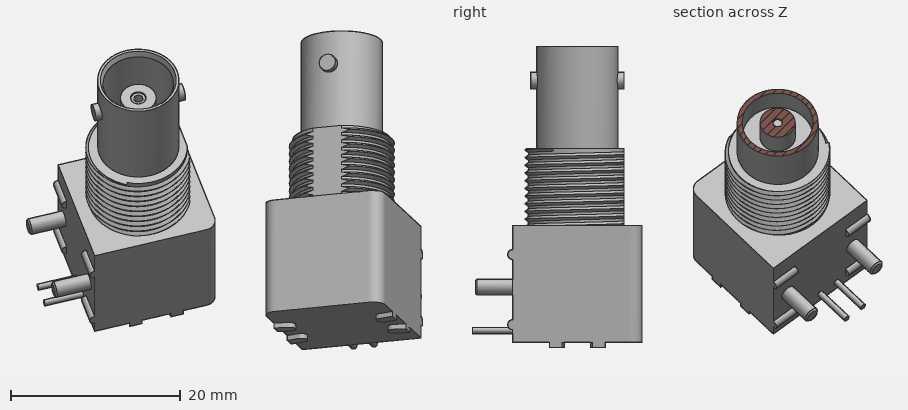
import cadquery as cq
import math


body_width = 14.7
body_depth = 15.25
body_height = 13.8
body_corner_radius = 1.5
front_face = -body_depth / 2

neck_length = 9.1
thread_root_radius = 5.8
thread_crest_radius = 6.2
thread_pitch = 0.907
thread_base_width = 0.6
thread_crest_drop = 0.2
crest_angle = -90.0
thread_end_angle = -30.0
neck_flat_offset = 5.52
thread_overlap = 0.2
shoulder_height = body_height + neck_length

barrel_length = 12.0
barrel_radius = 4.8
mouth_radius = 4.47
bore_radius = 4.15
mouth_taper_depth = 0.65
bore_depth = 9.0
barrel_top = shoulder_height + barrel_length

lug_diameter = 2.0
lug_reach = 5.52
lug_below_top = 4.03

insulator_radius = 2.1
insulator_below_top = 3.23
socket_mouth_radius = 0.92
contact_radius = 0.85
contact_recess = 0.1
socket_radius = 0.53
socket_taper_depth = 0.03
socket_depth = 3.0

rib_radius = 0.6
rib_length = 3.4
rib_heights = (2.1, 10.37)

post_diameter = 1.9
post_length = 4.4
post_chamfer = 0.2
post_spacing = 10.16
post_height = 6.53

pin_diameter = 0.75
pin_length = 4.75
pin_pitch = 2.54
pin_height = 1.4

foot_height = 0.6
foot_radius = 0.75
foot_tilt = 10.0
foot_center_x = 5.75
foot_center_y = 2.27


def cylinder_up(radius, base, height):
    return cq.Workplane("XY").workplane(offset=base).circle(radius).extrude(height)


def rod_from_front(diameter, x, z, length):
    """Round rod standing on the front face and pointing to -Y."""
    plane = cq.Workplane("XZ", origin=(x, front_face, z))
    return plane.circle(diameter / 2).extrude(length)


def make_housing():
    block = cq.Workplane("XY").box(body_width, body_depth, body_height, centered=(True, True, False))
    return block.edges("|Z and >Y").fillet(body_corner_radius)


def make_thread_ridge():
    """Helical V ridge, from inside the housing to where it runs out at the shoulder."""
    rise = math.ceil(neck_length / thread_pitch) * thread_pitch
    runout_turns = (thread_end_angle - crest_angle) / 360
    top_crest = shoulder_height - thread_crest_drop + runout_turns * thread_pitch
    inner_radius = thread_root_radius - thread_overlap
    slope = thread_base_width / 2 / (thread_crest_radius - thread_root_radius)
    half_width = slope * (thread_crest_radius - inner_radius)
    helix = cq.Wire.makeHelix(thread_pitch, rise, thread_root_radius)
    profile = (
        cq.Workplane("XZ")
        .moveTo(inner_radius, -half_width)
        .lineTo(thread_crest_radius, 0)
        .lineTo(inner_radius, half_width)
        .close()
    )
    ridge = profile.sweep(cq.Workplane(obj=helix), isFrenet=True)
    return ridge.rotate((0, 0, 0), (0, 0, 1), thread_end_angle).translate((0, 0, top_crest - rise))


def make_neck():
    core = cylinder_up(thread_root_radius, body_height, neck_length)
    envelope = (
        cq.Workplane("XY", origin=(0, neck_flat_offset - body_depth, body_height))
        .box(body_width, body_depth, neck_length, centered=(True, False, False))
    )
    return core.union(make_thread_ridge()).intersect(envelope)


def make_barrel():
    barrel = cylinder_up(barrel_radius, shoulder_height, barrel_length)
    lugs = (
        cq.Workplane("XZ", origin=(0, 0, barrel_top - lug_below_top))
        .circle(lug_diameter / 2)
        .extrude(lug_reach, both=True)
    )
    return barrel.union(lugs)


def make_bore():
    """Annular cavity around the insulator, with a tapered mouth."""
    floor = barrel_top - bore_depth
    profile = (
        cq.Workplane("XZ")
        .moveTo(0, floor)
        .lineTo(bore_radius, floor)
        .lineTo(bore_radius, barrel_top - mouth_taper_depth)
        .lineTo(mouth_radius, barrel_top)
        .lineTo(0, barrel_top)
        .close()
    )
    cavity = profile.revolve(360, (0, 0, 0), (0, 1, 0))
    insulator = cylinder_up(insulator_radius, floor, bore_depth - insulator_below_top)
    return cavity.cut(insulator)


def make_socket():
    """Socket of the slightly recessed contact in the end of the insulator."""
    top = barrel_top - insulator_below_top
    contact_end = top - contact_recess
    profile = (
        cq.Workplane("XZ")
        .moveTo(0, top)
        .lineTo(socket_mouth_radius, top)
        .lineTo(contact_radius, contact_end)
        .lineTo(socket_radius, contact_end - socket_taper_depth)
        .lineTo(socket_radius, top - socket_depth)
        .lineTo(0, top - socket_depth)
        .close()
    )
    return profile.revolve(360, (0, 0, 0), (0, 1, 0))


def make_rib(side, height):
    start = body_width / 2 - rib_length
    rib = cq.Workplane("YZ", origin=(start, front_face, height)).circle(rib_radius).extrude(rib_length)
    return rib if side > 0 else rib.mirror("YZ")


def make_post(side):
    post = rod_from_front(post_diameter, side * post_spacing / 2, post_height, post_length)
    return post.faces("<Y").chamfer(post_chamfer)


def make_foot():
    """Round-ended arm in the +X, +Y quarter, running out to the side of the housing."""
    arm_length = body_width - foot_center_x
    arm = (
        cq.Workplane("XY")
        .rect(arm_length, 2 * foot_radius)
        .extrude(-foot_height)
        .translate((arm_length / 2, 0, 0))
        .union(cylinder_up(foot_radius, 0, -foot_height))
        .rotate((0, 0, 0), (0, 0, 1), foot_tilt)
        .translate((foot_center_x, foot_center_y, 0))
    )
    limits = cq.Workplane("XY").box(body_width, body_depth, 2 * foot_height)
    return arm.intersect(limits)


result = make_housing().union(make_neck()).union(make_barrel())
result = result.cut(make_bore()).cut(make_socket())

for side in (-1, 1):
    result = result.union(make_post(side))
    for rib_height in rib_heights:
        result = result.union(make_rib(side, rib_height))

for pin_x in (0, pin_pitch):
    result = result.union(rod_from_front(pin_diameter, pin_x, pin_height, pin_length))

foot = make_foot()
foot_pair = foot.union(foot.mirror("YZ"))
result = result.union(foot_pair).union(foot_pair.mirror("XZ"))